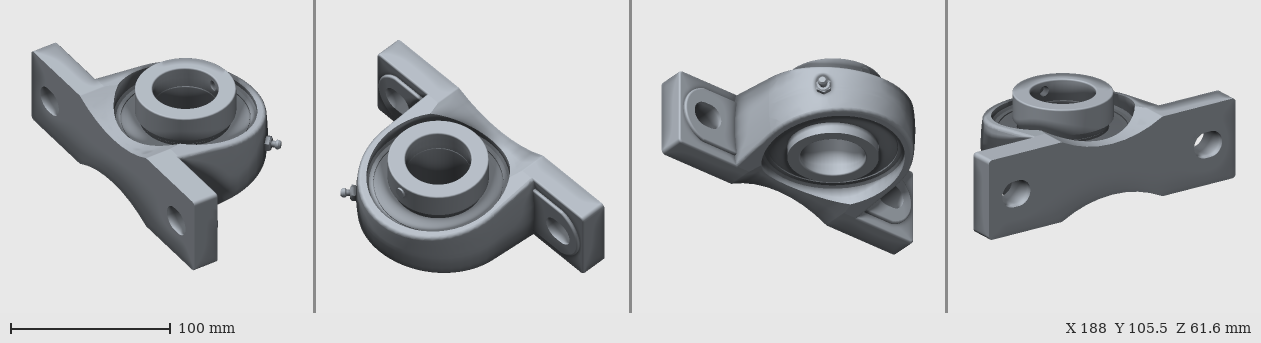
import cadquery as cq
import math


shaft_height = 53.98
foot_length = 188.0
foot_width = 53.6
foot_thickness = 17.9
foot_corner_radius = 2.7
foot_top_fillet = 1.3
foot_bottom = -shaft_height
foot_top = foot_bottom + foot_thickness
waist_half_length = 38.2
waist_depth = 9.7
waist_corner_fillet = 2.3
waist_radius = (waist_half_length**2 + waist_depth**2) / (2 * waist_depth)

bolt_spacing = 146.0
slot_length = 21.3
slot_width = 17.3
pad_end = 90.8
pad_width = 39.0
pad_height = 2.2
pad_round_depth = 14.9
pad_edge_fillet = 1.2

body_radius = 51.51
crown_radius = 120.0
flank_angle = 7.7
body_edge_fillet = 2.6
flank_slope = math.tan(math.radians(flank_angle))
seat_diameter = 90.0
seat_bevel_height = 1.5

outer_ring_width = 23.0
outer_ring_bore = 81.6
seal_inner_diameter = 57.91
seal_recess = 0.4
seal_step_diameter = 74.93
seal_thickness = 1.5
seal_raise = 0.4
seal_groove_width = 0.6
seal_groove_depth = 0.6

shaft_diameter = 41.27
ring_diameter = 57.15
ring_bottom = -19.0
ring_shoulder = 13.0
ring_stub_diameter = 50.29
ring_top = 20.7
ring_bore_fillet = 1.0
collar_diameter = 63.5
collar_neck_diameter = 57.91
collar_bottom = 13.4
collar_flange_bottom = 17.8
collar_top = 34.84
collar_edge_fillet = 1.0

screw_diameter = 6.78
screw_height = 28.2
screw_tip = 33.0
screw_inner_end = 26.0

fitting_angle = 45.0
fitting_stem_diameter = 6.0
fitting_stem_start = 47.0
fitting_hex_width = 9.0
fitting_hex_end = 54.3
fitting_cone_end = 55.1
fitting_neck_diameter = 4.2
fitting_neck_end = 57.4
fitting_head_diameter = 6.0
fitting_head_start = 58.3
fitting_head_end = 59.6
fitting_tip = 61.0
fitting_tip_diameter = 4.2


def flank_height(y):
    """Half thickness of the arched body at a given Y; it equals half the foot width at the foot top."""
    return foot_width / 2 - flank_slope * (y - foot_top)


def make_foot():
    foot = (
        cq.Workplane("XY")
        .box(foot_length, foot_thickness, foot_width)
        .translate((0, foot_bottom + foot_thickness / 2, 0))
        .edges("|Y")
        .fillet(foot_corner_radius)
    )
    return foot.faces(">Y").edges().fillet(foot_top_fillet)


def make_pad(side):
    """Raised pad on top of the foot; its inner end is buried in the arched body."""
    half_width = pad_width / 2
    round_start = side * (pad_end - pad_round_depth)
    pad = (
        cq.Workplane("XZ", origin=(0, foot_top + pad_height, 0))
        .moveTo(0, -half_width)
        .lineTo(round_start, -half_width)
        .threePointArc((side * pad_end, 0), (round_start, half_width))
        .lineTo(0, half_width)
        .close()
        .extrude(pad_height + foot_thickness / 2)
    )
    return pad.faces(">Y").edges().fillet(pad_edge_fillet)


def make_arched_body():
    half_height = flank_height(foot_bottom)
    edge_radius = body_radius - crown_radius + math.sqrt(crown_radius**2 - half_height**2)
    arch = (
        cq.Workplane("XZ")
        .moveTo(0, -half_height)
        .lineTo(edge_radius, -half_height)
        .threePointArc((body_radius, 0), (edge_radius, half_height))
        .lineTo(0, half_height)
        .close()
        .revolve(180, (0, 0, 0), (0, 1, 0))
    )
    legs = (
        cq.Workplane("XZ")
        .moveTo(-edge_radius, -half_height)
        .lineTo(edge_radius, -half_height)
        .threePointArc((body_radius, 0), (edge_radius, half_height))
        .lineTo(-edge_radius, half_height)
        .threePointArc((-body_radius, 0), (-edge_radius, -half_height))
        .close()
        .extrude(-foot_bottom)
    )
    wedge_end = body_radius + 1
    wedge = (
        cq.Workplane("YZ")
        .polyline([
            (foot_top - foot_top_fillet, flank_height(foot_top)),
            (foot_top, flank_height(foot_top)),
            (wedge_end, flank_height(wedge_end)),
            (wedge_end, -flank_height(wedge_end)),
            (foot_top, -flank_height(foot_top)),
            (foot_top - foot_top_fillet, -flank_height(foot_top)),
        ])
        .close()
        .extrude(body_radius, both=True)
    )
    body = arch.union(legs).intersect(wedge)
    flank_edges = cq.selectors.BoxSelector(
        (-foot_length, foot_top / 2 - 1, -foot_width),
        (foot_length, wedge_end, foot_width),
    )
    return body.edges(flank_edges).edges("not(|Z or |X)").fillet(body_edge_fillet)


def make_housing():
    housing = make_foot()
    for side in (-1, 1):
        housing = housing.union(make_pad(side))
    housing = housing.union(make_arched_body())

    slots = (
        cq.Workplane("XZ", origin=(0, foot_bottom, 0))
        .pushPoints([(-bolt_spacing / 2, 0), (bolt_spacing / 2, 0)])
        .slot2D(slot_length, slot_width)
        .extrude(-(foot_thickness + pad_height))
    )
    waist_center = foot_width / 2 - waist_depth + waist_radius
    waists = (
        cq.Workplane("XZ", origin=(0, foot_bottom, 0))
        .pushPoints([(0, -waist_center), (0, waist_center)])
        .circle(waist_radius)
        .extrude(-shaft_height)
    )
    housing = housing.cut(waists)
    waist_corners = housing.edges("|Y").edges(
        cq.selectors.BoxSelector(
            (-waist_half_length - 1, foot_bottom, -foot_width),
            (waist_half_length + 1, foot_top, foot_width),
        )
    )
    housing = waist_corners.fillet(waist_corner_fillet)
    return housing.cut(slots).cut(bearing_seat()).cut(fitting_stem())


def bearing_seat():
    """Spherical seat that ends level with the outer ring, a bevel and a round opening on each side."""
    radius = seat_diameter / 2
    mouth_height = outer_ring_width / 2
    mouth_radius = math.sqrt(radius**2 - mouth_height**2)
    bevel_top = mouth_height + seat_bevel_height
    return (
        cq.Workplane("XZ")
        .moveTo(0, -foot_width / 2)
        .lineTo(radius, -foot_width / 2)
        .lineTo(radius, -bevel_top)
        .lineTo(mouth_radius, -mouth_height)
        .threePointArc((radius, 0), (mouth_radius, mouth_height))
        .lineTo(radius, bevel_top)
        .lineTo(radius, foot_width / 2)
        .lineTo(0, foot_width / 2)
        .close()
        .revolve(360, (0, 0, 0), (0, 1, 0))
    )


def cylinder(diameter, bottom, top):
    return cq.Workplane("XY", origin=(0, 0, bottom)).circle(diameter / 2).extrude(top - bottom)


def make_outer_ring():
    half_width = outer_ring_width / 2
    ball = cq.Workplane("XY").sphere(seat_diameter / 2)
    ring = ball.intersect(cylinder(seat_diameter, -half_width, half_width))
    return ring.cut(cylinder(outer_ring_bore, -half_width, half_width))


def make_seal():
    """Shield between the rings on the +Z side, raised slightly toward the shaft."""
    inner = seal_inner_diameter / 2
    outer = outer_ring_bore / 2
    face = outer_ring_width / 2 - seal_recess
    back = face - seal_thickness
    return (
        cq.Workplane("XZ")
        .polyline([
            (inner, back),
            (outer, back),
            (outer, face - seal_groove_depth),
            (outer - seal_groove_width, face - seal_groove_depth),
            (outer - seal_groove_width, face),
            (seal_step_diameter / 2, face),
            (inner, face + seal_raise),
        ])
        .close()
        .revolve(360, (0, 0, 0), (0, 1, 0))
    )


def make_inner_ring():
    body = cylinder(ring_diameter, ring_bottom, ring_shoulder)
    stub = cylinder(ring_stub_diameter, ring_shoulder, ring_top)
    ring = body.union(stub).cut(cylinder(shaft_diameter, ring_bottom, ring_top))
    return ring.edges(cq.selectors.RadiusNthSelector(0)).fillet(ring_bore_fillet)


def make_collar():
    neck = cylinder(collar_neck_diameter, collar_bottom, collar_flange_bottom)
    flange = cylinder(collar_diameter, collar_flange_bottom, collar_top)
    collar = neck.union(flange).cut(cylinder(shaft_diameter, collar_bottom, collar_top))
    collar = collar.faces(">Z").edges().fillet(collar_edge_fillet)
    collar = collar.cut(cylinder(ring_stub_diameter, collar_bottom, ring_top))
    return collar.cut(screw_bore())


def screw_bore():
    return (
        cq.Workplane("XZ", origin=(0, 0, screw_height))
        .circle(screw_diameter / 2)
        .extrude(-screw_tip)
    )


def make_set_screw():
    return (
        cq.Workplane("XZ", origin=(0, screw_inner_end, screw_height))
        .circle(screw_diameter / 2)
        .extrude(-(screw_tip - screw_inner_end))
    )


def along_fitting(shape):
    """Lay a shape drawn along +Z onto the radial axis of the grease fitting."""
    return shape.rotate((0, 0, 0), (0, 1, 0), 90).rotate((0, 0, 0), (0, 0, 1), fitting_angle)


def fitting_stem():
    return along_fitting(cylinder(fitting_stem_diameter, fitting_stem_start, body_radius))


def make_grease_fitting():
    hexagon = (
        cq.Workplane("XY", origin=(0, 0, body_radius))
        .transformed(rotate=(0, 0, 30))
        .polygon(6, fitting_hex_width, circumscribed=True)
        .extrude(fitting_hex_end - body_radius)
    )
    neck = fitting_neck_diameter / 2
    head = fitting_head_diameter / 2
    nipple = (
        cq.Workplane("XZ")
        .polyline([
            (0, fitting_hex_end),
            (fitting_hex_width / 2, fitting_hex_end),
            (fitting_hex_width / 2 - fitting_cone_end + fitting_hex_end, fitting_cone_end),
            (neck, fitting_cone_end),
            (neck, fitting_neck_end),
            (head, fitting_head_start),
            (head, fitting_head_end),
            (fitting_tip_diameter / 2, fitting_tip),
            (0, fitting_tip),
        ])
        .close()
        .revolve(360, (0, 0, 0), (0, 1, 0))
    )
    return along_fitting(hexagon.union(nipple)).union(fitting_stem())


housing = make_housing()
outer_ring = make_outer_ring()
top_seal = make_seal()
bottom_seal = top_seal.mirror("XY")
inner_ring = make_inner_ring()
collar = make_collar()
set_screw = make_set_screw()
grease_fitting = make_grease_fitting()

result = cq.Compound.makeCompound([
    housing.val(),
    outer_ring.val(),
    top_seal.val(),
    bottom_seal.val(),
    inner_ring.val(),
    collar.val(),
    set_screw.val(),
    grease_fitting.val(),
])